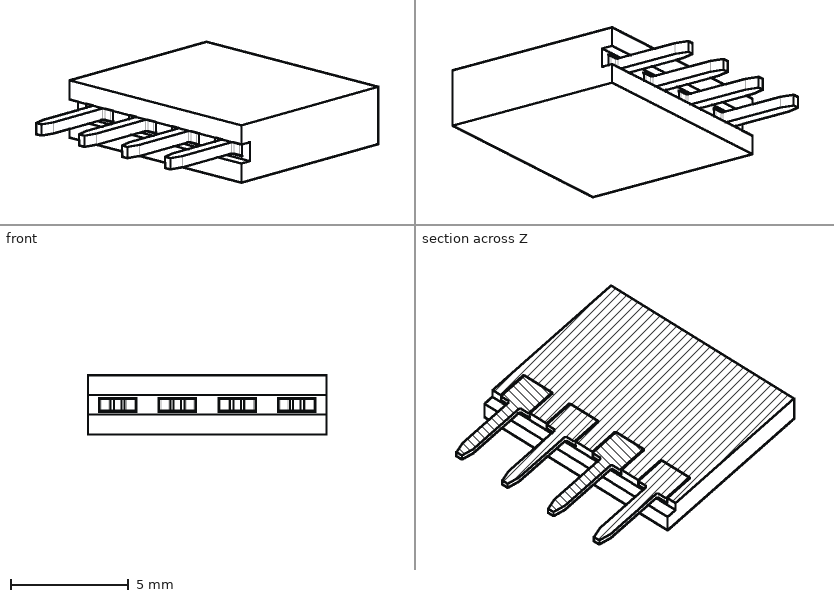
import cadquery as cq

housing_width = 10.16
housing_length = 8.4
housing_height = 2.54
groove_height = 0.84
groove_depth = 0.52

pin_count = 4
pin_pitch = 2.54
first_pin_x = -pin_pitch * (pin_count - 1) / 2
pin_positions = [first_pin_x + index * pin_pitch for index in range(pin_count)]

overall_length = 11.6
pin_thickness = 0.5
base_width = 1.55
base_standout = 0.05
base_corner_radius = 0.07
leg_width = 0.59
leg_root_radius = 0.07
tip_width = 0.31
tip_taper_length = 0.59

pocket_side_gap = 0.02
pocket_face_gap = 0.05
pocket_depth = 1.51
pocket_width = base_width + 2 * pocket_side_gap
pocket_height = pin_thickness + 2 * pocket_face_gap

pocket_floor_y = groove_depth + pocket_depth
base_front_y = groove_depth - base_standout
tip_y = housing_length - overall_length
taper_start_y = tip_y + tip_taper_length


def make_housing():
    """Plain block with a groove across its front face and a row of pin pockets."""
    block = cq.Workplane("XY").box(
        housing_width, housing_length, housing_height, centered=(True, False, True)
    )
    groove = cq.Workplane("XY").box(
        housing_width, groove_depth, groove_height, centered=(True, False, True)
    )
    body = block.cut(groove)
    for x in pin_positions:
        pocket = cq.Workplane("XY").box(
            pocket_width, pocket_floor_y, pocket_height, centered=(True, False, True)
        )
        body = body.cut(pocket.translate((x, 0, 0)))
    return body


def make_pin(x):
    """Flat pin on the given X, with rounded base corners and fillets at the leg root."""
    half_base = base_width / 2
    half_leg = leg_width / 2
    half_tip = tip_width / 2
    outline = [
        (-half_base, pocket_floor_y),
        (-half_base, base_front_y),
        (-half_leg, base_front_y),
        (-half_leg, taper_start_y),
        (-half_tip, tip_y),
        (half_tip, tip_y),
        (half_leg, taper_start_y),
        (half_leg, base_front_y),
        (half_base, base_front_y),
        (half_base, pocket_floor_y),
    ]
    pin = cq.Workplane("XY").polyline(outline).close().extrude(pin_thickness / 2, both=True)
    base_corners = [(-half_base, base_front_y, 0), (half_base, base_front_y, 0)]
    leg_roots = [(-half_leg, base_front_y, 0), (half_leg, base_front_y, 0)]
    pin = fillet_upright_edges(pin, base_corners, base_corner_radius)
    pin = fillet_upright_edges(pin, leg_roots, leg_root_radius)
    return pin.translate((x, 0, 0))


def fillet_upright_edges(body, edge_centres, radius):
    """Round the edges parallel to Z that lie nearest to the given points."""
    for centre in edge_centres:
        body = body.edges("|Z").edges(cq.selectors.NearestToPointSelector(centre)).fillet(radius)
    return body


housing = make_housing()
pins = [make_pin(x) for x in pin_positions]

result = cq.Compound.makeCompound([housing.val(), *[pin.val() for pin in pins]])